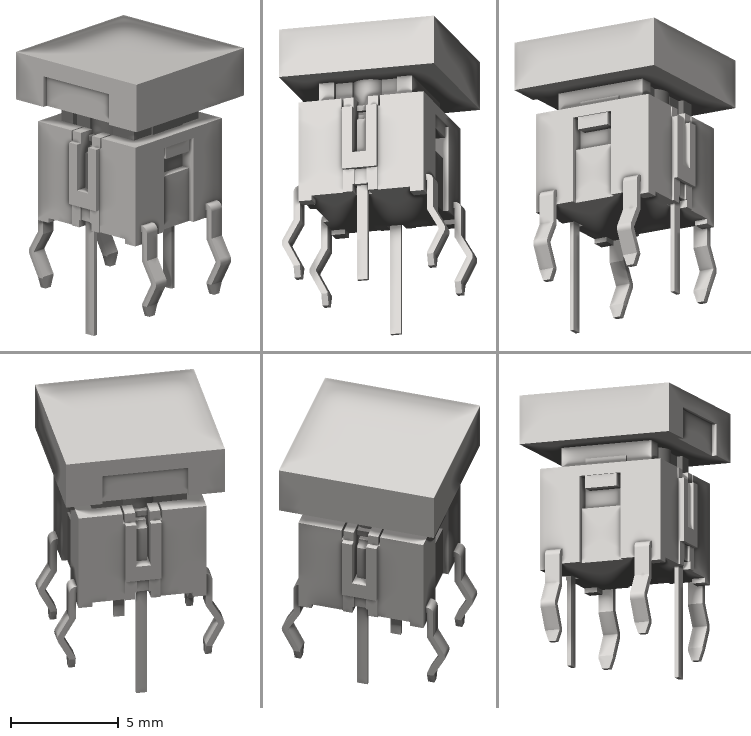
import cadquery as cq
import math


cap_size = 7.5
cap_bottom = 5.66
cap_top = 7.97
cap_notch_width = 4.05
cap_notch_top = 7.15
cap_notch_depth = 0.22

housing_size = 6.05
housing_top = 4.58
well_floor = 3.45
foot_size = 0.65
foot_height = 0.22

frame_width = 1.68
frame_reach = 3.3
frame_bottom = 1.08
frame_top = 4.08
frame_slot_width = 0.69
frame_slot_floor = 1.85
notch_width = 1.86
rib_reach = 3.12
rib_groove_width = 0.58
lead_exit_width = 0.77
lead_exit_height = 0.35

window_width = 2.05
window_sill = 2.57
window_top = frame_top
channel_depth = 0.26

strip = 0.3
terminal_width = 0.74
terminal_root_x = 2.64
terminal_y = 2.25
terminal_top = 0.69
terminal_outer_x = 3.38
apex_corner_x = 4.0
first_bend_z = -0.95
apex_z = -2.02
last_bend_z = -3.2
terminal_tip_z = -3.72
tip_width = 0.35
shoulder_radius = 0.32
apex_radius = 0.37
inner_radius = apex_radius - strip

plunger_size = 4.5
head_height = 1.05
recess_width = 3.04
recess_depth = 0.26
tab_thickness = 0.09
tab_top = 5.03
hook_width = 1.58
hook_bottom = 3.48
hook_reach = 2.96

lens_width = 1.43
lens_end_radius = 0.83
lens_bottom = 4.34
flange_length = 4.96
flange_bottom = frame_top
lead_width = 0.51
lead_thickness = 0.2
lead_outer_y = 2.8
lead_top = 3.87
lead_bend_radius = 0.29
long_lead_tip = -5.23
short_lead_tip = -4.22

half_housing = housing_size / 2
half_plunger = plunger_size / 2
half_flange = flange_length / 2
tab_reach = half_plunger + tab_thickness


def block(x_range, y_range, z_range):
    """Box between the given limits on each axis."""
    (x0, x1), (y0, y1), (z0, z1) = x_range, y_range, z_range
    return cq.Workplane("XY").box(x1 - x0, y1 - y0, z1 - z0, centered=False).translate((x0, y0, z0))


def span(width):
    """Limits of a width centred on zero."""
    return (-width / 2, width / 2)


def both_sides(shape, plane):
    """A shape together with its mirror image."""
    return shape.union(shape.mirror(plane))


def make_cap():
    cap = block(span(cap_size), span(cap_size), (cap_bottom, cap_top))
    face_y = -cap_size / 2
    notch = block(span(cap_notch_width), (face_y, face_y + cap_notch_depth), (cap_bottom, cap_notch_top))
    socket = block(span(plunger_size), span(plunger_size), (cap_bottom, cap_bottom + head_height))
    return cap.cut(notch).cut(socket)


def make_lens(bottom, top):
    """Bar along Y with convex ends that reach as far as the plunger faces."""
    half_width = lens_width / 2
    end_sag = lens_end_radius - math.sqrt(lens_end_radius**2 - half_width**2)
    corner_y = half_plunger - end_sag
    return (
        cq.Workplane("XY", origin=(0, 0, bottom))
        .moveTo(-half_width, -corner_y)
        .threePointArc((0, -half_plunger), (half_width, -corner_y))
        .lineTo(half_width, corner_y)
        .threePointArc((0, half_plunger), (-half_width, corner_y))
        .close()
        .extrude(top - bottom)
    )


def make_plunger():
    plunger = block(span(plunger_size), span(plunger_size), (well_floor, cap_bottom + head_height))
    recess = block(
        span(recess_width), (-half_plunger, -half_plunger + recess_depth), (well_floor, cap_bottom)
    )
    lens_slot = block(span(lens_width), span(plunger_size), (well_floor, cap_bottom))
    tab = block((-tab_reach, -half_plunger), span(window_width), (well_floor, tab_top))
    hook = block((-hook_reach, -half_plunger), span(hook_width), (hook_bottom, window_top))
    plunger = plunger.cut(both_sides(recess, "XZ")).cut(lens_slot)
    return plunger.union(both_sides(tab.union(hook), "YZ"))


def make_lead(tip_z):
    """Flat lead leaving the front end of the LED base and bending down."""
    inner_y = lead_outer_y - lead_thickness
    inner_bend_radius = lead_bend_radius - lead_thickness
    return (
        cq.Workplane("YZ", origin=(-lead_width / 2, 0, 0))
        .moveTo(-half_plunger, lead_top)
        .lineTo(-lead_outer_y + lead_bend_radius, lead_top)
        .radiusArc((-lead_outer_y, lead_top - lead_bend_radius), lead_bend_radius)
        .lineTo(-lead_outer_y, tip_z)
        .lineTo(-inner_y, tip_z)
        .lineTo(-inner_y, lead_top - lead_bend_radius)
        .radiusArc((-lead_outer_y + lead_bend_radius, lead_top - lead_thickness), -inner_bend_radius)
        .lineTo(-half_plunger, lead_top - lead_thickness)
        .close()
        .extrude(lead_width)
    )


def make_led():
    base = block(span(frame_slot_width), span(plunger_size), (well_floor, lens_bottom))
    flange = block(span(frame_slot_width), span(flange_length), (flange_bottom, lens_bottom))
    led = base.union(flange).union(make_lens(lens_bottom, cap_bottom))
    return led.union(make_lead(long_lead_tip)).union(make_lead(short_lead_tip).mirror("XZ"))


def frame_material():
    """Guide frame and the rib below it on the front wall."""
    frame = block(span(frame_width), (-frame_reach, -half_plunger), (frame_bottom, frame_top))
    rib = block(span(frame_width), (-rib_reach, -half_plunger), (0, frame_bottom))
    return frame.union(rib)


def frame_prongs():
    """Tops of the frame arms, standing in the notch of the front wall."""
    return block(span(frame_width), (-half_housing, -half_plunger), (frame_top, housing_top))


def frame_openings():
    """Slot between the frame arms and the passage of the LED lead."""
    slot = block(span(frame_slot_width), (-frame_reach, -half_flange), (frame_slot_floor, housing_top))
    slot_to_well = block(span(frame_slot_width), (-half_flange, 0), (well_floor, housing_top))
    groove = block(span(rib_groove_width), (-rib_reach, -half_housing), (0, frame_bottom))
    lead_exit = block(span(lead_exit_width), (-rib_reach, -half_flange), (0, lead_exit_height))
    lead_inner_y = -lead_outer_y + lead_thickness
    lead_hole = block(span(lead_width), (-lead_outer_y, lead_inner_y), (0, frame_slot_floor))
    return slot.union(slot_to_well).union(groove).union(lead_exit).union(lead_hole)


def side_window():
    """Snap window in the -X wall, with a shallow channel from it to the underside."""
    window = block((-half_housing, -tab_reach), span(window_width), (window_sill, window_top))
    channel = block(
        (-half_housing, -half_housing + channel_depth), span(window_width), (0, window_sill)
    )
    tab_groove = block((-tab_reach, 0), span(window_width), (well_floor, housing_top))
    return window.union(channel).union(tab_groove)


def make_terminal():
    """Bent terminal on the -X wall, centred on Y = 0."""
    run = apex_corner_x - terminal_outer_x
    upper_angle = math.atan2(run, first_bend_z - apex_z)
    lower_angle = math.atan2(run, apex_z - last_bend_z)
    upper_shift = strip * math.tan(upper_angle / 2)
    lower_shift = strip * math.tan(lower_angle / 2)
    inner_x = terminal_outer_x - strip
    inner_first_z = first_bend_z - upper_shift
    inner_last_z = last_bend_z + lower_shift
    apex_inner_x = inner_x + run * (inner_first_z - inner_last_z) / (first_bend_z - last_bend_z)
    profile = [
        (-terminal_root_x, terminal_top),
        (-terminal_outer_x, terminal_top),
        (-terminal_outer_x, first_bend_z),
        (-apex_corner_x, apex_z),
        (-terminal_outer_x, last_bend_z),
        (-terminal_outer_x, terminal_tip_z),
        (-inner_x, terminal_tip_z),
        (-inner_x, inner_last_z),
        (-apex_inner_x, apex_z),
        (-inner_x, inner_first_z),
        (-inner_x, terminal_top - strip),
        (-terminal_root_x, terminal_top - strip),
    ]
    bar = cq.Workplane("XZ").polyline(profile).close().extrude(terminal_width / 2, both=True)

    def edge_at(x, z):
        return cq.selectors.NearestToPointSelector((x, 0, z))

    bar = bar.edges("|Y").edges(edge_at(-terminal_outer_x, terminal_top)).fillet(shoulder_radius)
    bar = bar.edges("|Y").edges(edge_at(-apex_corner_x, apex_z)).fillet(apex_radius)
    bar = bar.edges("|Y").edges(edge_at(-apex_inner_x, apex_z)).fillet(inner_radius)
    return bar.cut(both_sides(tip_corner(), "XZ"))


def tip_corner():
    """Wedge that tapers one side of a terminal tip."""
    return (
        cq.Workplane("YZ", origin=(-terminal_outer_x, 0, 0))
        .moveTo(terminal_width / 2, last_bend_z)
        .lineTo(terminal_width / 2, terminal_tip_z)
        .lineTo(tip_width / 2, terminal_tip_z)
        .close()
        .extrude(terminal_outer_x)
    )


def make_housing():
    housing = block(span(housing_size), span(housing_size), (0, housing_top))
    notch = block(span(notch_width), (-half_housing, 0), (frame_top, housing_top))
    housing = housing.cut(both_sides(notch, "XZ"))
    housing = housing.union(both_sides(frame_material().union(frame_prongs()), "XZ"))
    well = block(span(plunger_size), span(plunger_size), (well_floor, housing_top))
    housing = housing.cut(well)
    housing = housing.cut(both_sides(frame_openings(), "XZ"))
    housing = housing.cut(both_sides(side_window(), "YZ"))
    foot_span = (-half_housing, -half_housing + foot_size)
    foot = block(foot_span, foot_span, (-foot_height, 0))
    corner = foot.union(make_terminal().translate((0, -terminal_y, 0)))
    return housing.union(both_sides(both_sides(corner, "XZ"), "YZ"))


cap = make_cap()
plunger = make_plunger()
housing = make_housing()
led = make_led()

result = cq.Compound.makeCompound([body.solids().val() for body in (cap, plunger, housing, led)])